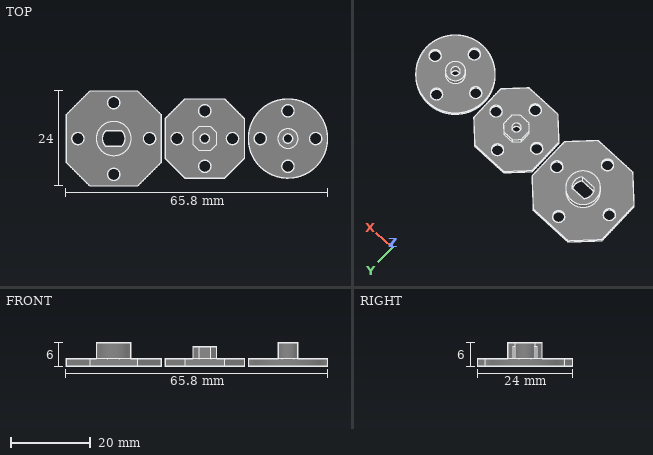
import cadquery as cq

large_width = 24.0
large_corner = 6.0
small_width = 20.0
small_corner = 5.0
plate_thickness = 2.0
plate_gap = 0.9

mount_hole_diameter = 3.0
large_mount_radius = 9.0
small_mount_radius = 7.0

tall_hub_top = 6.0
octagon_hub_top = 5.0
large_hub_diameter = 8.7
octagon_hub_width = 6.0
octagon_hub_corner = 1.5
disc_hub_diameter = 5.0

flatted_bore_diameter = 5.6
flatted_bore_height = 3.8
round_bore_diameter = 2.3

small_center_x = large_width / 2 + plate_gap + small_width / 2
disc_center_x = small_center_x + small_width + plate_gap


def octagon(width, corner, height):
    """Square block with its four vertical edges cut at 45 degrees."""
    block = cq.Workplane("XY").rect(width, width).extrude(height)
    return block.edges("|Z").chamfer(corner)


def cylinder(diameter, height):
    return cq.Workplane("XY").circle(diameter / 2).extrude(height)


def mount_holes(radius):
    """Four through-hole cutters on the X and Y axes of a plate."""
    return (
        cq.Workplane("XY")
        .polarArray(radius, 0, 360, 4)
        .circle(mount_hole_diameter / 2)
        .extrude(plate_thickness)
    )


def flatted_bore():
    """Round bore cutter with flats on its +Y and -Y sides."""
    flats = cq.Workplane("XY").rect(flatted_bore_diameter, flatted_bore_height).extrude(tall_hub_top)
    return cylinder(flatted_bore_diameter, tall_hub_top).intersect(flats)


def flange(plate, hub, bore, mount_radius, center_x):
    """Join a plate to its hub, cut the bore and mounting holes, and move it into place."""
    body = plate.union(hub).cut(bore).cut(mount_holes(mount_radius))
    return body.translate((center_x, 0, 0))


large_octagon_flange = flange(
    octagon(large_width, large_corner, plate_thickness),
    cylinder(large_hub_diameter, tall_hub_top),
    flatted_bore(),
    large_mount_radius,
    0,
)

small_octagon_flange = flange(
    octagon(small_width, small_corner, plate_thickness),
    octagon(octagon_hub_width, octagon_hub_corner, octagon_hub_top),
    cylinder(round_bore_diameter, octagon_hub_top),
    small_mount_radius,
    small_center_x,
)

disc_flange = flange(
    cylinder(small_width, plate_thickness),
    cylinder(disc_hub_diameter, tall_hub_top),
    cylinder(round_bore_diameter, tall_hub_top),
    small_mount_radius,
    disc_center_x,
)

result = cq.Compound.makeCompound(
    [large_octagon_flange.val(), small_octagon_flange.val(), disc_flange.val()]
)